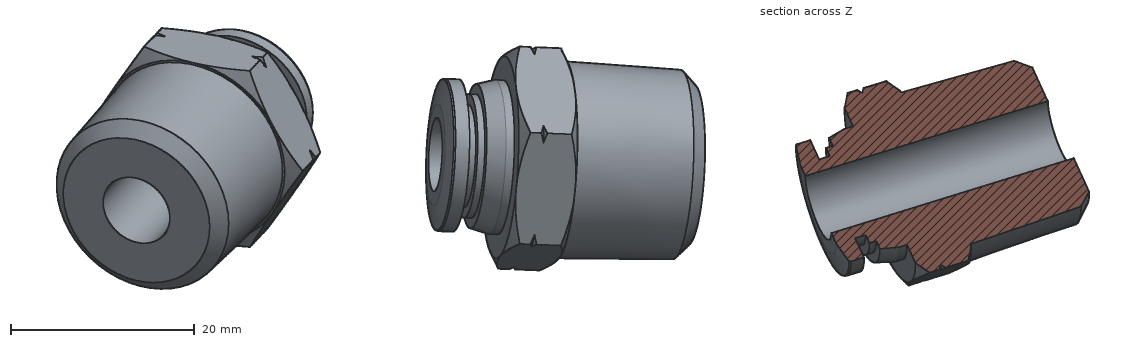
import cadquery as cq
import math

length = 28.2
tip_chamfer_end = 1.55
hex_start = 14.52
hex_end = 21.05
collar_cone_start = 22.0
collar_end = 24.0
ring_end = 24.8
flange_start = 25.97
flange_rim_end = 27.52
flange_step_end = 27.72

bore_diameter = 8.0
tip_diameter = 17.57
thread_small_diameter = 20.67
thread_taper = 1 / 16
collar_diameter = 16.8
collar_end_diameter = 15.74
ring_diameter = 13.5
neck_diameter = 11.2
flange_diameter = 16.65
flange_step_diameter = 16.47
flange_face_diameter = 11.05

across_flats = 22.0
across_corners = across_flats / math.cos(math.radians(30))
hex_chamfer_angle = 30.0
groove_center = 18.53
groove_depth = 0.5
groove_width = 0.68

thread_length = hex_start - tip_chamfer_end
thread_large_diameter = thread_small_diameter + thread_length * thread_taper


def turned(profile):
    """Revolve a closed profile of (diameter, y) points about the Y axis."""
    points = [(diameter / 2, y) for diameter, y in profile]
    return cq.Workplane("XY").polyline(points).close().revolve(360, (0, 0, 0), (0, 1, 0))


def threaded_end():
    return turned([
        (0, 0),
        (tip_diameter, 0),
        (thread_small_diameter, tip_chamfer_end),
        (thread_large_diameter, hex_start),
        (0, hex_start),
    ])


def tube_end():
    """Collar, ring, neck and release flange behind the hexagon."""
    return turned([
        (0, hex_end),
        (collar_diameter, hex_end),
        (collar_diameter, collar_cone_start),
        (collar_end_diameter, collar_end),
        (ring_diameter, collar_end),
        (ring_diameter, ring_end),
        (neck_diameter, ring_end),
        (neck_diameter, flange_start),
        (flange_diameter, flange_start),
        (flange_diameter, flange_rim_end),
        (flange_step_diameter, flange_step_end),
        (flange_face_diameter, length),
        (0, length),
    ])


def hexagon():
    """Hexagon with both ends chamfered and a V groove turned into its corners."""
    height = hex_end - hex_start
    corner_rise = (across_corners - across_flats) / 2 * math.tan(math.radians(hex_chamfer_angle))
    prism = (
        cq.Workplane("XZ", origin=(0, hex_start, 0))
        .polygon(6, across_corners)
        .extrude(-height)
    )
    envelope = turned([
        (0, hex_start),
        (across_flats, hex_start),
        (across_corners, hex_start + corner_rise),
        (across_corners, groove_center - groove_width / 2),
        (across_corners - 2 * groove_depth, groove_center),
        (across_corners, groove_center + groove_width / 2),
        (across_corners, hex_end - corner_rise),
        (across_flats, hex_end),
        (0, hex_end),
    ])
    return prism.intersect(envelope)


bore = cq.Workplane("XZ").circle(bore_diameter / 2).extrude(-length)

result = threaded_end().union(hexagon()).union(tube_end()).cut(bore)